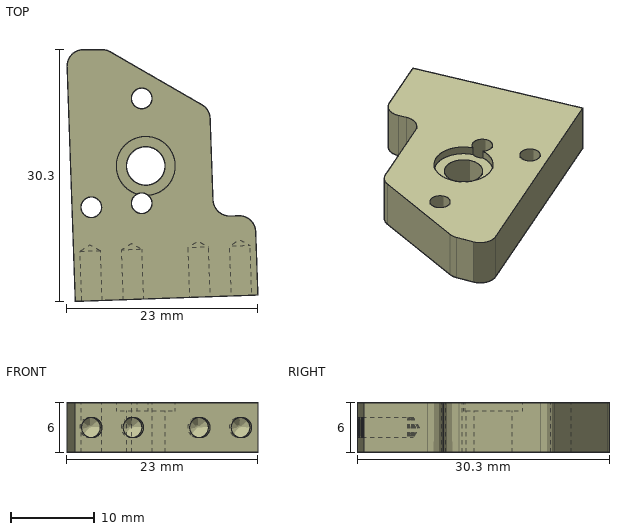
import cadquery as cq
import math

thickness = 6.0
height = 30.3
tilt = 2.0
foot_length = 22.0
foot_height = 9.65
neck_width = 17.0
slope_angle = 30.0
slope_start_x = 3.75
corner_radius = 2.0

pin_diameter = 2.45
pin_centers = [(8.0, 24.42), (8.0, 11.82), (1.95, 11.33)]

bore_center = (8.48, 16.3)
bore_diameter = 4.6
counterbore_diameter = 7.1
counterbore_depth = 1.0

foot_hole_diameter = 2.45
foot_hole_depth = 6.0
drill_tip_angle = 118.0
first_hole_offset = 2.0
pair_pitch = 5.0
pair_gap = 8.0
pair_end = first_hole_offset + pair_pitch
foot_hole_offsets = [first_hole_offset, pair_end, pair_end + pair_gap, pair_end + pair_gap + pair_pitch]

sin_tilt = math.sin(math.radians(tilt))
cos_tilt = math.cos(math.radians(tilt))
tan_tilt = sin_tilt / cos_tilt


def tilted(along, up):
    """XY point given along and square to the foot face, from its left corner."""
    return (along * cos_tilt - up * sin_tilt, along * sin_tilt + up * cos_tilt)


def make_plate():
    """Plate with its lower left corner at the origin and rounded upper corners."""
    slope = math.tan(math.radians(slope_angle))
    neck_base_x = neck_width / cos_tilt
    shoulder_x = (neck_base_x - tan_tilt * (height + slope * slope_start_x)) / (1 - tan_tilt * slope)
    shoulder_y = height - slope * (shoulder_x - slope_start_x)
    square_corners = [(0, 0), tilted(foot_length, 0)]
    rounded_corners = [
        tilted(foot_length, foot_height),
        tilted(neck_width, foot_height),
        (shoulder_x, shoulder_y),
        (slope_start_x, height),
        (-height * tan_tilt, height),
    ]
    plate = cq.Workplane("XY").polyline(square_corners + rounded_corners).close().extrude(thickness)
    for x, y in rounded_corners:
        edge = cq.selectors.NearestToPointSelector((x, y, thickness / 2))
        plate = plate.edges("|Z").edges(edge).fillet(corner_radius)
    return plate


def make_pin_holes():
    return cq.Workplane("XY").pushPoints(pin_centers).circle(pin_diameter / 2).extrude(thickness)


def make_bore():
    """Through bore with a shallow counterbore in the top face."""
    bore = cq.Workplane("XY").center(*bore_center).circle(bore_diameter / 2).extrude(thickness)
    recess = (
        cq.Workplane("XY", origin=(0, 0, thickness - counterbore_depth))
        .center(*bore_center)
        .circle(counterbore_diameter / 2)
        .extrude(counterbore_depth)
    )
    return bore.union(recess)


def make_foot_hole(offset):
    """Blind drilled hole with a conical end, square to the foot face."""
    radius = foot_hole_diameter / 2
    tip_length = radius / math.tan(math.radians(drill_tip_angle / 2))
    x, y = tilted(offset, 0)
    return (
        cq.Workplane("XY")
        .polyline([(0, 0), (radius, 0), (radius, foot_hole_depth), (0, foot_hole_depth + tip_length)])
        .close()
        .revolve(360, (0, 0), (0, 1))
        .rotate((0, 0, 0), (0, 0, 1), tilt)
        .translate((x, y, thickness / 2))
    )


result = make_plate().cut(make_pin_holes()).cut(make_bore())
for hole_offset in foot_hole_offsets:
    result = result.cut(make_foot_hole(hole_offset))